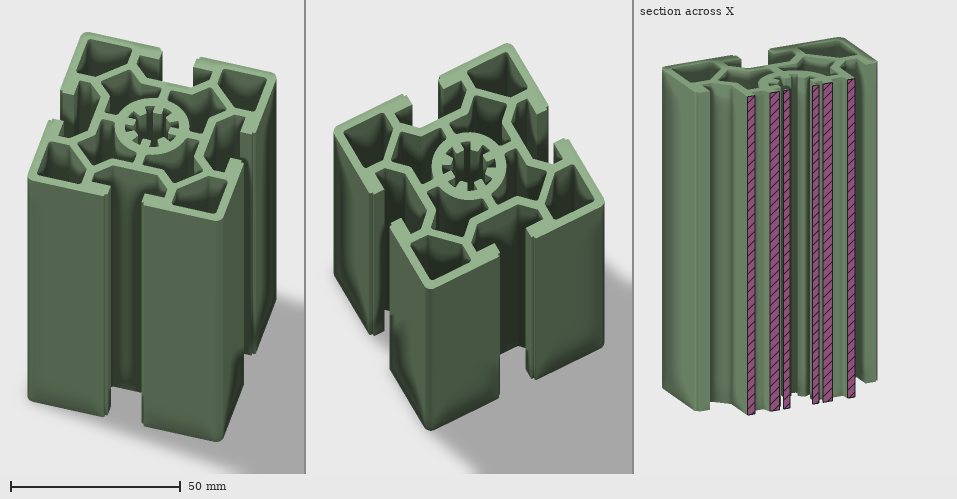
import cadquery as cq
import math

side = 60.0
length = 100.0
half_side = side / 2
corner_radius = 2.3

slot_mouth_half = 5.2
slot_lip_depth = 4.5
lip_step_width = 0.8
lip_step_depth = 1.0
lip_chamfer = 0.3
slot_inner_half = 11.2
slot_floor = 17.7
slot_floor_half = 6.8

wall = 2.6
outer_wall = 2.5
diagonal_wall = 2.2

chamber_diagonal = 35.1
chamber_radius = 1.0
cavity_tip_radius = 0.8
tube_root_radius = 1.0
spoke_radius = 0.7
cavity_bend_radius = 1.5

tube_radius = 11.0
bore_radius = 8.0
tooth_tip_radius = 5.2
tooth_edge_radius = 0.5
straight_tooth_half = 1.35
flared_tooth_tip_half = 1.15
flared_tooth_root_half = 1.9

QUARTER_TURNS = (0, 90, 180, 270)


def prism(points):
    """Extrude a closed outline over the full length."""
    return cq.Workplane("XY").polyline(points).close().extrude(length)


def cylinder(radius):
    """Solid cylinder on the profile axis over the full length."""
    return cq.Workplane("XY").circle(radius).extrude(length)


def turned(body, angle):
    """Copy of a body turned about the profile axis."""
    return body.rotate((0, 0, 0), (0, 0, 1), angle)


def round_edge(body, x, y, radius):
    """Fillet the lengthwise edge that stands at (x, y)."""
    at_corner = cq.selectors.NearestToPointSelector((x, y, length / 2))
    return body.edges("|Z").edges(at_corner).fillet(radius)


def slot_cutter():
    """T-slot open towards +X, stepped at its mouth, with 45-degree walls down to its floor."""
    lip_inside = half_side - slot_lip_depth
    step_half = slot_mouth_half + lip_step_width
    slant_end = slot_floor + slot_inner_half - slot_floor_half
    upper = [
        (slot_floor, slot_floor_half),
        (slant_end, slot_inner_half),
        (lip_inside, slot_inner_half),
        (lip_inside, slot_mouth_half),
        (half_side - lip_step_depth, slot_mouth_half),
        (half_side - lip_step_depth, step_half),
        (half_side - lip_chamfer, step_half),
        (half_side, step_half + lip_chamfer),
    ]
    lower = [(x, -y) for x, y in reversed(upper)]
    return prism(upper + lower)


def chamber_cutter():
    """Five-sided corner chamber in the +X +Y corner."""
    outer = half_side - outer_wall
    inner = slot_inner_half + wall
    slant_end = chamber_diagonal - inner
    chamber = prism([
        (inner, outer),
        (outer, outer),
        (outer, inner),
        (slant_end, inner),
        (inner, slant_end),
    ])
    return chamber.edges("|Z").edges(">X or >Y").fillet(chamber_radius)


def cavity_cutter():
    """Cavity between two spokes, the tube and the walls of two slots."""
    inner = wall / 2
    outer = slot_floor - wall
    slant_offset = slot_floor - slot_floor_half - wall * math.sqrt(2)
    diagonal = chamber_diagonal - diagonal_wall * math.sqrt(2)
    tip_far = (diagonal + slant_offset) / 2
    tip_near = (diagonal - slant_offset) / 2
    cavity = prism([
        (inner, inner),
        (outer, inner),
        (outer, outer - slant_offset),
        (tip_far, tip_near),
        (tip_near, tip_far),
        (outer - slant_offset, outer),
        (inner, outer),
    ])
    for x, y in ((tip_far, tip_near), (tip_near, tip_far)):
        cavity = round_edge(cavity, x, y, cavity_tip_radius)
    for x, y in ((outer, outer - slant_offset), (outer - slant_offset, outer)):
        cavity = round_edge(cavity, x, y, cavity_bend_radius)
    for x, y in ((outer, inner), (inner, outer)):
        cavity = round_edge(cavity, x, y, spoke_radius)
    cavity = cavity.cut(cylinder(tube_radius))
    spoke_end = math.sqrt(tube_radius**2 - inner**2)
    for x, y in ((spoke_end, inner), (inner, spoke_end)):
        cavity = round_edge(cavity, x, y, tube_root_radius)
    return cavity


def tooth(tip_half, root_half):
    """Tooth along +X, reaching from inside the tube wall towards the axis."""
    root = (bore_radius + tube_radius) / 2
    flare = (root_half - tip_half) / (bore_radius - tooth_tip_radius)
    embedded_half = root_half + flare * (root - bore_radius)
    body = prism([
        (tooth_tip_radius, tip_half),
        (root, embedded_half),
        (root, -embedded_half),
        (tooth_tip_radius, -tip_half),
    ])
    return body.edges("|Z and <X").fillet(tooth_edge_radius)


def bore_cutter():
    """Central bore with four straight and four flared teeth left standing."""
    bore = cylinder(bore_radius)
    for angle in QUARTER_TURNS:
        bore = bore.cut(turned(tooth(straight_tooth_half, straight_tooth_half), angle))
        bore = bore.cut(turned(tooth(flared_tooth_tip_half, flared_tooth_root_half), angle + 45))
    return bore


profile = cq.Workplane("XY").rect(side, side).extrude(length)
profile = profile.edges("|Z").fillet(corner_radius)

for angle in QUARTER_TURNS:
    profile = profile.cut(turned(slot_cutter(), angle))
    profile = profile.cut(turned(chamber_cutter(), angle))
    profile = profile.cut(turned(cavity_cutter(), angle))

result = profile.cut(bore_cutter())